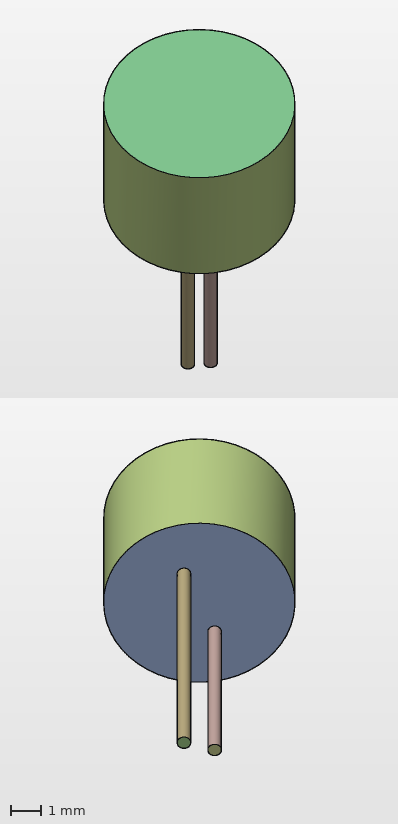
import cadquery as cq

total_height = 15.0
can_diameter = 6.3
can_height = 5.0
lead_diameter = 0.45
lead_pitch = 2.5
short_lead_length = 7.0

long_lead_length = total_height - can_height


def make_can():
    """Plain cylindrical can standing on the Z = 0 plane."""
    return cq.Workplane("XY").circle(can_diameter / 2).extrude(can_height)


def make_lead(x, length):
    """Round lead hanging down from the underside of the can."""
    return cq.Workplane("XY").center(x, 0).circle(lead_diameter / 2).extrude(-length)


can = make_can()

lead_layout = [(-lead_pitch / 2, long_lead_length), (lead_pitch / 2, short_lead_length)]
leads = [make_lead(x, length) for x, length in lead_layout]

result = cq.Compound.makeCompound([can.val(), *[lead.val() for lead in leads]])